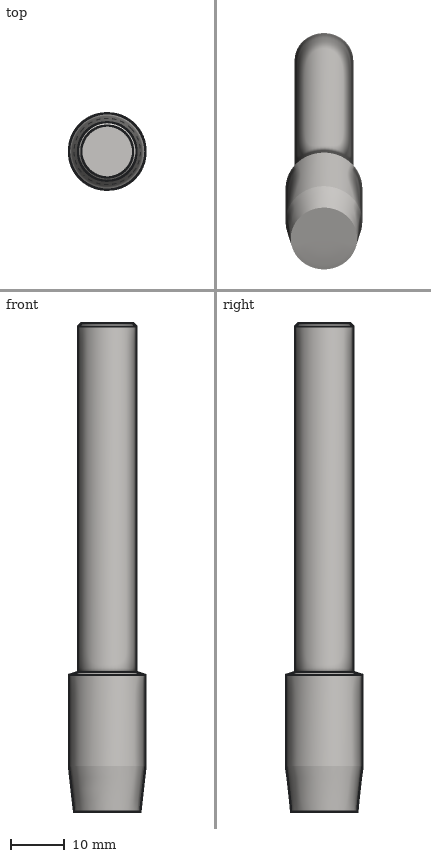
import cadquery as cq

total_height = 91.3

shaft_diameter = 11.0
shaft_chamfer = 0.6

collar_diameter = 14.3
foot_diameter = 12.4
foot_height = 8.5
shoulder_start = 25.6
shoulder_height = 0.55

collar_height = shoulder_start + shoulder_height


def make_collar():
    """Collar whose shoulder slopes up to a flat seat as wide as the shaft."""
    half_profile = (
        cq.Workplane("XZ")
        .lineTo(foot_diameter / 2, 0)
        .lineTo(collar_diameter / 2, foot_height)
        .lineTo(collar_diameter / 2, shoulder_start)
        .lineTo(shaft_diameter / 2, collar_height)
        .lineTo(0, collar_height)
        .close()
    )
    return half_profile.revolve(360, (0, 0, 0), (0, 1, 0))


def make_shaft():
    """Round shaft standing on the collar seat, chamfered at its free end."""
    return (
        cq.Workplane("XY", origin=(0, 0, collar_height))
        .circle(shaft_diameter / 2)
        .extrude(total_height - collar_height)
        .faces(">Z")
        .edges()
        .chamfer(shaft_chamfer)
    )


collar = make_collar()
shaft = make_shaft()

result = cq.Compound.makeCompound([collar.val(), shaft.val()])